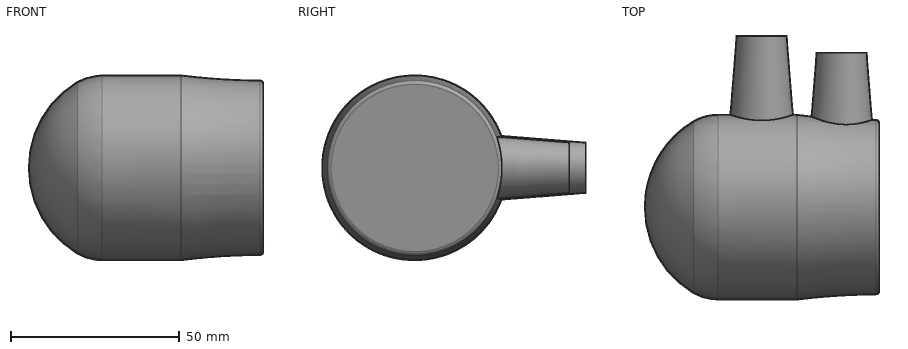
import cadquery as cq
import math

body_length = 69.8
body_diameter = 55.0
body_radius = body_diameter / 2
overall_width = 78.5
tube_reach = overall_width - body_radius

dome_radius = 29.75
knuckle_radius = 14.1

cylinder_end = 45.2
shoulder_blend = 2.0
skirt_end_radius = 26.0
rim_fillet = 1.1

tube_end_diameter = 15.0
tube_taper = 0.08
tube_start = 19.6
long_tube_x = 34.8
short_tube_x = 58.6
short_tube_drop = 5.0

center_gap = dome_radius - knuckle_radius
knuckle_center_r = body_radius - knuckle_radius
knuckle_end = dome_radius - math.sqrt(center_gap**2 - knuckle_center_r**2)
joint_angle = math.asin(knuckle_center_r / center_gap)


def crown_point(angle):
    """Point on the crown, at an angle from the body axis."""
    return (dome_radius * (1 - math.cos(angle)), dome_radius * math.sin(angle))


def knuckle_point(angle):
    """Point on the knuckle, at an angle from the body axis."""
    return (
        knuckle_end - knuckle_radius * math.cos(angle),
        knuckle_center_r + knuckle_radius * math.sin(angle),
    )


def make_body():
    """Domed cylinder with a slightly concave, narrowing skirt."""
    skirt_length = body_length - cylinder_end
    skirt_drop = body_radius - skirt_end_radius
    skirt_angle = 2 * math.atan(skirt_drop / skirt_length)
    skirt_arc_radius = skirt_length / math.sin(skirt_angle)
    skirt_middle = (
        body_length - skirt_arc_radius * math.sin(skirt_angle / 2),
        skirt_end_radius + skirt_arc_radius * (1 - math.cos(skirt_angle / 2)),
    )
    profile = (
        cq.Workplane("XY")
        .moveTo(0, 0)
        .threePointArc(crown_point(joint_angle / 2), crown_point(joint_angle))
        .threePointArc(knuckle_point((joint_angle + math.pi / 2) / 2), (knuckle_end, body_radius))
        .lineTo(cylinder_end, body_radius)
        .threePointArc(skirt_middle, (body_length, skirt_end_radius))
        .lineTo(body_length, 0)
        .close()
    )
    body = profile.revolve(360, (0, 0, 0), (1, 0, 0))
    body = body.faces(">X").edges().fillet(rim_fillet)
    margin = 0.8
    outside = body_radius + margin
    shoulder = cq.selectors.BoxSelector(
        (cylinder_end - margin, -outside, -outside),
        (cylinder_end + margin, outside, outside),
        boundingbox=True,
    )
    return body.edges(shoulder).fillet(shoulder_blend)


def make_tube(x, reach):
    """Tapered tube along +Y, starting inside the body."""
    length = reach - tube_start
    end_radius = tube_end_diameter / 2
    root_radius = end_radius + tube_taper * length
    root = cq.Vector(x, tube_start, 0)
    cone = cq.Solid.makeCone(root_radius, end_radius, length, pnt=root, dir=cq.Vector(0, 1, 0))
    return cq.Workplane(obj=cone)


result = (
    make_body()
    .union(make_tube(long_tube_x, tube_reach))
    .union(make_tube(short_tube_x, tube_reach - short_tube_drop))
)